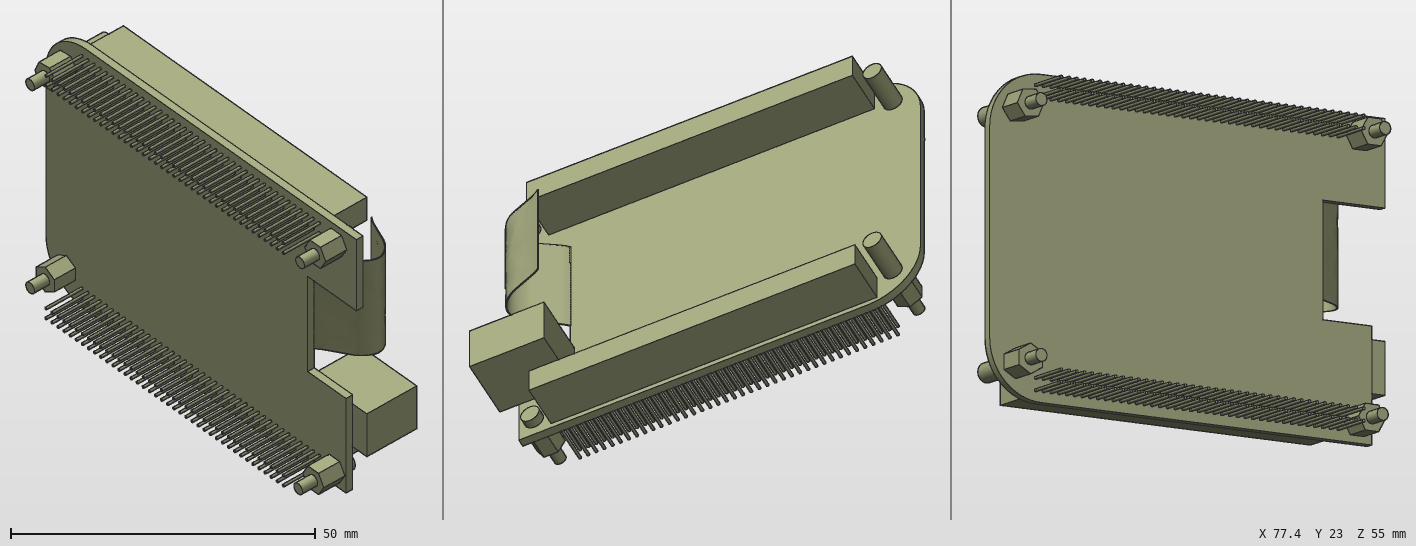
import cadquery as cq
import math

board_height = 55.0
board_thickness = 1.5
upper_board_length = 76.5
lower_board_length = 73.9
corner_radius = 9.8
notch_x = 64.5
notch_bottom_z = 20.0
notch_top_z = 40.0

header_length = 60.0
header_width = 4.9
header_depth = 8.05
header_edge_gap = 1.0
upper_header_x = 8.4
lower_header_x = 8.0

pins_per_row = 40
pin_pitch = header_length / pins_per_row
pin_diameter = 0.5
pin_length = 8.0
first_pin_x = 8.9
pin_row_edge_distances = (1.9, 4.0)

nut_across_flats = 4.5
nut_across_corners = nut_across_flats / math.cos(math.radians(30))
nut_height = 4.65
stud_diameter = 2.2
stud_length = pin_length
spacer_diameter = 3.4
long_spacer = 7.6
short_spacer = 1.6
standoffs = (
    (5.0, 48.9, 6, long_spacer),
    (5.0, 6.0, 30, long_spacer),
    (71.5, 51.5, 0, short_spacer),
    (71.05, 3.5, 0, short_spacer),
)

block_length = 13.7
block_right_x = 77.4
block_bottom_z = 9.0
block_height = 9.05
block_depth = 11.0

flap_thickness = 0.19
flap_bottom_z = 24.0
flap_width = 20.0
flap_root_inset = 0.3
flap_reach = 72.2
flap_centre_line = (
    (notch_x - flap_root_inset, -flap_root_inset),
    (68.6, 2.8),
    (71.2, 4.95),
    (flap_reach, 7.35),
    (71.05, 9.7),
    (68.1, 11.4),
    (63.55, 13.4),
)


def component_side():
    """Workplane on the component face, local Y along +Z and normal toward -Y."""
    return cq.Workplane("XZ", origin=(0, board_thickness, 0))


def make_board():
    outline = (
        (0, 0),
        (lower_board_length, 0),
        (lower_board_length, notch_bottom_z),
        (notch_x, notch_bottom_z),
        (notch_x, notch_top_z),
        (upper_board_length, notch_top_z),
        (upper_board_length, board_height),
        (0, board_height),
    )
    board = cq.Workplane("XZ").polyline(outline).close().extrude(-board_thickness)
    return board.edges("|Y").edges("<X").fillet(corner_radius)


def component_box(x, z, length, height, depth):
    """Box standing on the component face, with (X, Z) at its lower left corner."""
    return component_side().center(x, z).rect(length, height, centered=False).extrude(-depth)


def make_pins():
    row_heights = []
    for distance in pin_row_edge_distances:
        row_heights += [distance, board_height - distance]
    points = [(first_pin_x + i * pin_pitch, z) for i in range(pins_per_row) for z in row_heights]
    return cq.Workplane("XZ").pushPoints(points).circle(pin_diameter / 2).extrude(pin_length)


def make_standoff(x, z, nut_angle, spacer_length):
    """Nut with stud, and the spacer opposite to it; the board joins the two."""
    nut = cq.Workplane("XZ").polygon(6, nut_across_corners).extrude(nut_height)
    nut = nut.rotate((0, 0, 0), (0, -1, 0), nut_angle)
    stud = cq.Workplane("XZ").circle(stud_diameter / 2).extrude(stud_length)
    spacer = component_side().circle(spacer_diameter / 2).extrude(-spacer_length)
    return nut.union(stud).translate((x, 0, z)), spacer.translate((x, 0, z))


def make_flap():
    path = cq.Workplane("XY").spline(flap_centre_line)
    start_direction = path.val().tangentAt(0)
    section_plane = cq.Plane(origin=path.val().startPoint(), xDir=(0, 0, 1), normal=start_direction)
    flap = cq.Workplane(section_plane).rect(flap_width, flap_thickness).sweep(path)
    return flap.translate((0, board_thickness, flap_bottom_z + flap_width / 2))


upper_header_z = board_height - header_edge_gap - header_width
block_x = block_right_x - block_length
boxes = (
    (upper_header_x, upper_header_z, header_length, header_width, header_depth),
    (lower_header_x, header_edge_gap, header_length, header_width, header_depth),
    (block_x, block_bottom_z, block_length, block_height, block_depth),
)

result = make_board()
for box in boxes:
    result = result.union(component_box(*box))
result = result.union(make_flap())
for standoff in standoffs:
    for piece in make_standoff(*standoff):
        result = result.union(piece)
result = result.union(make_pins())